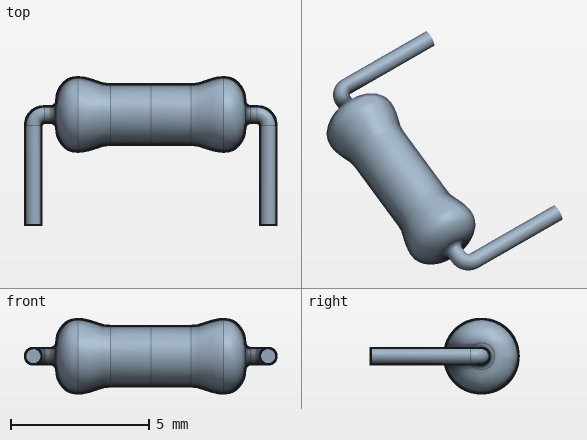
import cadquery as cq

diagonal = 0.5 ** 0.5

overall_length = 9.1
lead_radius = 0.3
bend_radius = 0.4
lead_tip_y = -4.0
body_half_length = 3.42
bulge_radius = 1.351
bulge_x = 2.64
waist_radius = 1.097
waist_half_length = 1.46
flank_x = 1.93
flank_radius = 1.18
collar_fillet = 0.18

lead_x = overall_length / 2 - lead_radius
bend_start_x = lead_x - bend_radius
collar_radius = lead_radius + collar_fillet
collar_end_x = body_half_length + collar_fillet
dome_length = body_half_length - bulge_x
dome_height = bulge_radius - collar_radius


def half_body():
    """Right half of the body, revolved about X, with its flared collar."""
    dome_middle = (bulge_x + dome_length * diagonal, collar_radius + dome_height * diagonal)
    collar_middle = (
        collar_end_x - collar_fillet * diagonal,
        collar_radius - collar_fillet * diagonal,
    )
    profile = (
        cq.Workplane("XY")
        .lineTo(0, waist_radius)
        .lineTo(waist_half_length, waist_radius)
        .spline(
            [(flank_x, flank_radius), (bulge_x, bulge_radius)],
            tangents=[(1, 0), (1, 0)],
            includeCurrent=True,
        )
        .spline(
            [dome_middle, (body_half_length, collar_radius)],
            tangents=[(1, 0), (0, -1)],
            includeCurrent=True,
        )
        .threePointArc(collar_middle, (collar_end_x, lead_radius))
        .lineTo(collar_end_x, 0)
        .close()
    )
    return profile.revolve(360, (0, 0), (1, 0))


def lead():
    """Right wire lead: out along X, bent a quarter turn, then down along -Y."""
    bend_middle = (
        bend_start_x + bend_radius * diagonal,
        -bend_radius + bend_radius * diagonal,
    )
    path = (
        cq.Workplane("XY")
        .moveTo(body_half_length, 0)
        .lineTo(bend_start_x, 0)
        .threePointArc(bend_middle, (lead_x, -bend_radius))
        .lineTo(lead_x, lead_tip_y)
    )
    start = cq.Workplane("YZ", origin=(body_half_length, 0, 0))
    return start.circle(lead_radius).sweep(path)


right_half = half_body().union(lead())
left_half = right_half.mirror("YZ")
result = right_half.union(left_half)